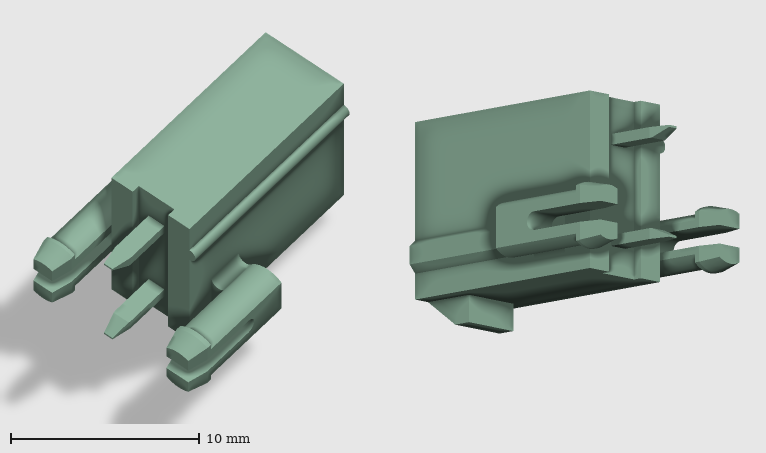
import cadquery as cq
import math


OVERALL_WIDTH = 11.35
OVERALL_DEPTH = 16.3

HOUSING_WIDTH = 5.41
HOUSING_DEPTH = 12.8
HOUSING_HEIGHT = 9.62
WALL_X = HOUSING_WIDTH / 2
RECESS_WIDTH = 2.46
RECESS_DEPTH = 0.5

LATCH_WIDTH = 3.42
LATCH_HEIGHT = 1.48
LATCH_LENGTH = 3.0
LATCH_RAMP_LENGTH = 1.99

RAIL_DEPTH = 0.42
RAIL_BASE_BOTTOM = 1.4
RAIL_BASE_TOP = 3.2
RAIL_TIP_BOTTOM = 1.85
RAIL_TIP_TOP = 2.84
RIB_RADIUS = 0.4
RIB_Z = 7.38

PIN_WIDTH = 1.1
PIN_THICKNESS = 0.59
PIN_REACH = OVERALL_DEPTH - HOUSING_DEPTH
PIN_TAPER_LENGTH = 1.2
PIN_BEVEL_LENGTH = 1.08
PIN_TIP_WIDTH = 0.59
PIN_TIP_THICKNESS = 0.11
LOWER_PIN_BOTTOM = 1.56
UPPER_PIN_TOP = 7.63

PEG_X = 4.7
PEG_Z = 2.31
PEG_OUTER_X = OVERALL_WIDTH / 2
PEG_INNER_X_LEFT = 3.75
PEG_INNER_X_RIGHT = 3.54
PEG_RADIUS = 1.48
PEG_HEAD_RADIUS = 1.8
PEG_REAR_Y = 4.08
PEG_HEAD_Y = -1.78
PEG_TAPER_Y = -2.07
PEG_CONE_Y_LEFT = -1.97
PEG_CONE_Y_RIGHT = PEG_TAPER_Y
PEG_TIP_Y = -3.3
PEG_TIP_INSET = 0.31
SLOT_WIDTH = 1.01
SLOT_END_Y = 1.81

WEB_FRONT_Y = 1.83
WEB_FILLET_RADIUS = 0.47


def make_housing():
    body = cq.Workplane("XY").box(
        HOUSING_WIDTH, HOUSING_DEPTH, HOUSING_HEIGHT, centered=(True, False, False)
    )
    recess = cq.Workplane("XY").box(
        RECESS_WIDTH, RECESS_DEPTH, HOUSING_HEIGHT, centered=(True, False, False)
    )
    return body.cut(recess)


def make_latch():
    latch_front_y = HOUSING_DEPTH - LATCH_LENGTH
    ramp_end_y = HOUSING_DEPTH - LATCH_RAMP_LENGTH
    return (
        cq.Workplane("YZ")
        .moveTo(latch_front_y, 0)
        .lineTo(HOUSING_DEPTH, 0)
        .lineTo(ramp_end_y, -LATCH_HEIGHT)
        .lineTo(latch_front_y, -LATCH_HEIGHT)
        .close()
        .extrude(LATCH_WIDTH / 2, both=True)
    )


def make_rail():
    return (
        cq.Workplane("XZ", origin=(0, HOUSING_DEPTH, 0))
        .moveTo(-WALL_X, RAIL_BASE_BOTTOM)
        .lineTo(-WALL_X - RAIL_DEPTH, RAIL_TIP_BOTTOM)
        .lineTo(-WALL_X - RAIL_DEPTH, RAIL_TIP_TOP)
        .lineTo(-WALL_X, RAIL_BASE_TOP)
        .close()
        .extrude(HOUSING_DEPTH - PEG_REAR_Y)
    )


def make_rib():
    return (
        cq.Workplane("XZ", origin=(0, HOUSING_DEPTH, 0))
        .center(WALL_X, RIB_Z)
        .circle(RIB_RADIUS)
        .extrude(HOUSING_DEPTH)
    )


def make_pin(flat_z, bevel_direction):
    """Pin with its flat side at flat_z; bevel_direction (+1 or -1) points to its bevelled side."""
    taper_y = PIN_TAPER_LENGTH - PIN_REACH
    bevel_y = PIN_BEVEL_LENGTH - PIN_REACH
    side_profile = (
        cq.Workplane("YZ")
        .moveTo(RECESS_DEPTH, flat_z)
        .lineTo(-PIN_REACH, flat_z)
        .lineTo(-PIN_REACH, flat_z + bevel_direction * PIN_TIP_THICKNESS)
        .lineTo(bevel_y, flat_z + bevel_direction * PIN_THICKNESS)
        .lineTo(RECESS_DEPTH, flat_z + bevel_direction * PIN_THICKNESS)
        .close()
        .extrude(PIN_WIDTH / 2, both=True)
    )
    plan_profile = (
        cq.Workplane("XY")
        .moveTo(-PIN_WIDTH / 2, RECESS_DEPTH)
        .lineTo(-PIN_WIDTH / 2, taper_y)
        .lineTo(-PIN_TIP_WIDTH / 2, -PIN_REACH)
        .lineTo(PIN_TIP_WIDTH / 2, -PIN_REACH)
        .lineTo(PIN_WIDTH / 2, taper_y)
        .lineTo(PIN_WIDTH / 2, RECESS_DEPTH)
        .close()
        .extrude(HOUSING_HEIGHT)
    )
    return side_profile.intersect(plan_profile)


def make_right_peg(inner_x, cone_y):
    """Split, barbed peg on the +X side with its head cone starting at cone_y.

    It is flattened at PEG_OUTER_X, and at inner_x ahead of the web.
    """
    turned = (
        cq.Workplane("XY", origin=(PEG_X, 0, PEG_Z))
        .moveTo(0, PEG_REAR_Y)
        .lineTo(PEG_RADIUS, PEG_REAR_Y)
        .lineTo(PEG_RADIUS, PEG_HEAD_Y)
        .lineTo(PEG_HEAD_RADIUS, PEG_HEAD_Y)
        .lineTo(PEG_HEAD_RADIUS, cone_y)
        .lineTo(PEG_HEAD_RADIUS - PEG_TIP_INSET, PEG_TIP_Y)
        .lineTo(0, PEG_TIP_Y)
        .close()
        .revolve(360, (0, 0, 0), (0, 1, 0))
    )
    flats = (
        cq.Workplane("XY", origin=(0, 0, PEG_Z))
        .moveTo(PEG_X - PEG_HEAD_RADIUS, PEG_REAR_Y)
        .lineTo(PEG_X - PEG_HEAD_RADIUS, WEB_FRONT_Y)
        .lineTo(inner_x, WEB_FRONT_Y)
        .lineTo(inner_x, PEG_TAPER_Y)
        .lineTo(inner_x + PEG_TIP_INSET, PEG_TIP_Y)
        .lineTo(PEG_OUTER_X - PEG_TIP_INSET, PEG_TIP_Y)
        .lineTo(PEG_OUTER_X, PEG_TAPER_Y)
        .lineTo(PEG_OUTER_X, PEG_REAR_Y)
        .close()
        .extrude(PEG_HEAD_RADIUS, both=True)
    )
    slot_radius = SLOT_WIDTH / 2
    slot_arc_y = SLOT_END_Y - slot_radius
    slot = (
        cq.Workplane("YZ")
        .moveTo(PEG_TIP_Y, PEG_Z - slot_radius)
        .lineTo(slot_arc_y, PEG_Z - slot_radius)
        .threePointArc((SLOT_END_Y, PEG_Z), (slot_arc_y, PEG_Z + slot_radius))
        .lineTo(PEG_TIP_Y, PEG_Z + slot_radius)
        .close()
        .extrude(PEG_OUTER_X)
    )
    return turned.intersect(flats).cut(slot)


def make_right_web():
    """Web on the +X side; its fillets blend from the housing wall into the round peg shaft."""
    fillet_x = WALL_X + WEB_FILLET_RADIUS
    center_distance = PEG_RADIUS + WEB_FILLET_RADIUS
    fillet_z = math.sqrt(center_distance**2 - (PEG_X - fillet_x) ** 2)
    shaft_share = PEG_RADIUS / center_distance
    tangent_x = PEG_X - shaft_share * (PEG_X - fillet_x)
    tangent_z = shaft_share * fillet_z
    neck_z = fillet_z - WEB_FILLET_RADIUS
    return (
        cq.Workplane("XZ", origin=(0, PEG_REAR_Y, PEG_Z))
        .moveTo(0, fillet_z)
        .lineTo(WALL_X, fillet_z)
        .threePointArc((fillet_x, neck_z), (tangent_x, tangent_z))
        .lineTo(PEG_X, 0)
        .lineTo(tangent_x, -tangent_z)
        .threePointArc((fillet_x, -neck_z), (WALL_X, -fillet_z))
        .lineTo(0, -fillet_z)
        .close()
        .extrude(PEG_REAR_Y - WEB_FRONT_Y)
    )


right_web = make_right_web()
result = (
    make_housing()
    .union(make_latch())
    .union(make_rail())
    .union(make_rib())
    .union(make_pin(LOWER_PIN_BOTTOM, 1))
    .union(make_pin(UPPER_PIN_TOP, -1))
    .union(right_web)
    .union(right_web.mirror("YZ"))
    .union(make_right_peg(PEG_INNER_X_RIGHT, PEG_CONE_Y_RIGHT))
    .union(make_right_peg(PEG_INNER_X_LEFT, PEG_CONE_Y_LEFT).mirror("YZ"))
)